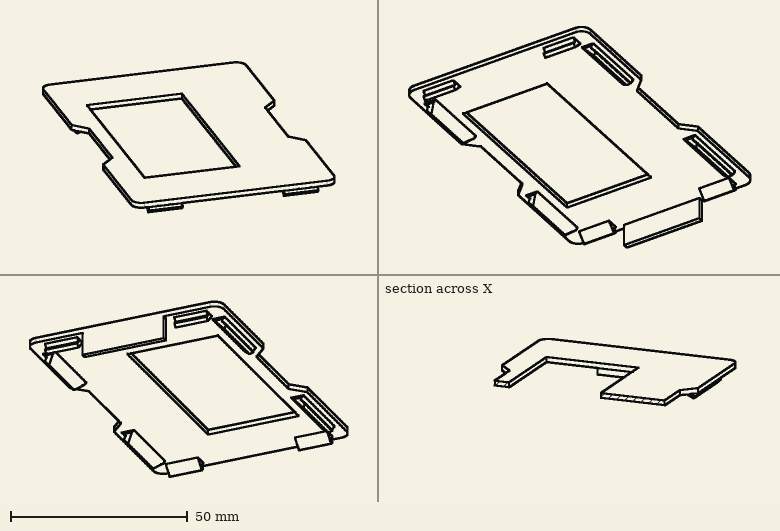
import cadquery as cq

length = 90.0
width = 60.0
thickness = 1.5
corner_radius = 3.0

notch_opening = 30.0
notch_depth = 4.0

window_length = 55.2
window_width = 28.1
window_center_y = -7.6

total_height = 8.5
leg_thickness = 1.5
leg_width = 25.2

clip_drop = 2.8
clip_tip_inset = 1.9
clip_tip_step = 0.9
long_clip_length = 21.4
long_clip_offset = 27.0
long_clip_taper = 2.2
short_clip_length = 10.0
short_clip_offset = 20.1


def make_plate():
    plate = cq.Workplane("XY").box(length, width, thickness, centered=(True, True, False))
    plate = plate.edges("|Z").fillet(corner_radius)
    half_opening = notch_opening / 2
    half_floor = half_opening - notch_depth
    for side in (-1, 1):
        edge_y = side * width / 2
        floor_y = edge_y - side * notch_depth
        notch = (
            cq.Workplane("XY")
            .polyline([
                (-half_opening, edge_y),
                (-half_floor, floor_y),
                (half_floor, floor_y),
                (half_opening, edge_y),
            ])
            .close()
            .extrude(thickness)
        )
        plate = plate.cut(notch)
    window = (
        cq.Workplane("XY")
        .center(0, window_center_y)
        .rect(window_length, window_width)
        .extrude(thickness)
    )
    return plate.cut(window).translate((0, 0, -thickness))


def make_leg():
    return (
        cq.Workplane("XY")
        .box(leg_thickness, leg_width, total_height, centered=(False, True, False))
        .translate((-length / 2, 0, -total_height))
    )


def make_clip(clip_length, edge_distance, end_taper=0):
    """Clip along X near the -Y edge, with its lower corners bevelled by end_taper."""
    tip_y = clip_tip_inset - edge_distance
    bottom_y = tip_y + clip_tip_step
    plate_z = -thickness
    root_z = plate_z + thickness / 2
    bottom_z = plate_z - clip_drop
    tip_z = bottom_z + clip_tip_step
    inner_y = bottom_y + clip_drop
    elbow_y = bottom_y
    elbow_z = tip_z + clip_tip_step
    outer_y = elbow_y - (plate_z - elbow_z)
    hook_clip = (
        cq.Workplane("YZ")
        .polyline([
            (outer_y, root_z),
            (outer_y, plate_z),
            (elbow_y, elbow_z),
            (tip_y, tip_z),
            (bottom_y, bottom_z),
            (inner_y, plate_z),
            (inner_y, root_z),
        ])
        .close()
        .extrude(clip_length / 2, both=True)
    )
    if end_taper == 0:
        return hook_clip
    half_root = clip_length / 2
    bevel_z = bottom_z + end_taper
    half_tip = half_root - end_taper
    envelope = (
        cq.Workplane("XZ")
        .polyline([
            (-half_root, root_z),
            (-half_root, bevel_z),
            (-half_tip, bottom_z),
            (half_tip, bottom_z),
            (half_root, bevel_z),
            (half_root, root_z),
        ])
        .close()
        .extrude(width, both=True)
    )
    return hook_clip.intersect(envelope)


long_clip = make_clip(long_clip_length, width / 2, long_clip_taper)
short_clip = make_clip(short_clip_length, length / 2)

result = make_plate().union(make_leg())
for side in (-1, 1):
    for turn in (0, 180):
        placed_long = long_clip.translate((side * long_clip_offset, 0, 0))
        result = result.union(placed_long.rotate((0, 0, 0), (0, 0, 1), turn))
        placed_short = short_clip.translate((side * short_clip_offset, 0, 0))
        result = result.union(placed_short.rotate((0, 0, 0), (0, 0, 1), turn + 90))